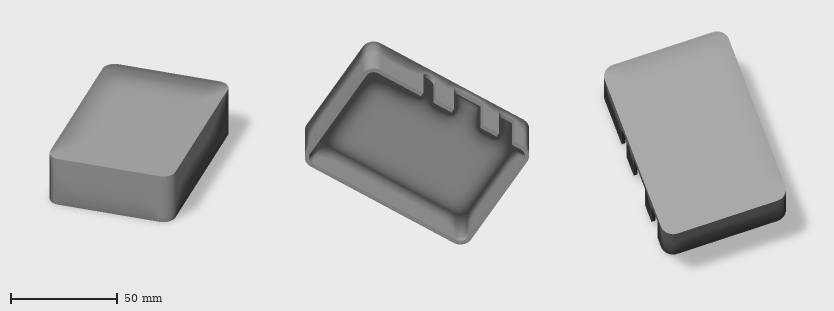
import cadquery as cq

width = 62.0
length = 91.0
height = 25.0
corner_radius = 6.0
wall = 2.0

opening_height = 19.8
wide_width = 16.1
wide_center_y = -9.2
narrow_width = 8.55
narrow_center_y = -30.4
arch_width = 6.9
arch_center_y = 12.3
arch_height = 19.5


def rounded_block(size_x, size_y, size_z, radius):
    """Block standing on Z = 0 with rounded vertical edges."""
    block = cq.Workplane("XY").box(size_x, size_y, size_z, centered=(True, True, False))
    return block.edges("|Z").fillet(radius)


def wall_opening(center_y, opening_width, opening_top):
    """Rectangular cutter through the -X wall, rising from the rim."""
    cutter = cq.Workplane("XY").box(wall, opening_width, opening_top, centered=(False, True, False))
    return cutter.translate((-width / 2, center_y, 0))


def arched_opening():
    """Cutter through the -X wall with a semicircular top."""
    radius = arch_width / 2
    spring_height = arch_height - radius
    round_top = (
        cq.Workplane("YZ", origin=(-width / 2, 0, 0))
        .center(arch_center_y, spring_height)
        .circle(radius)
        .extrude(wall)
    )
    return wall_opening(arch_center_y, arch_width, spring_height).union(round_top)


outer = rounded_block(width, length, height, corner_radius)
cavity = rounded_block(width - 2 * wall, length - 2 * wall, height - wall, corner_radius - wall)
cover = outer.cut(cavity)

for center_y, opening_width in ((wide_center_y, wide_width), (narrow_center_y, narrow_width)):
    cover = cover.cut(wall_opening(center_y, opening_width, opening_height))

result = cover.cut(arched_opening())